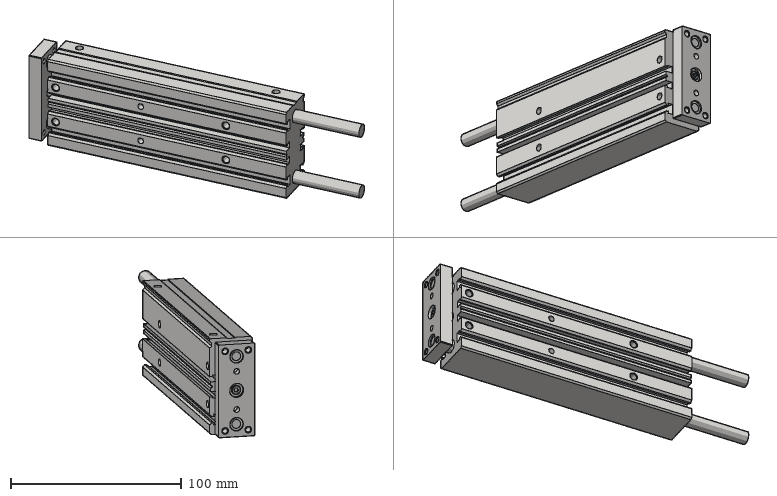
import cadquery as cq
import math


TOTAL_LENGTH = 210.0
HOUSING_DEPTH = 26.0
HOUSING_HEIGHT = 58.0
HOUSING_LENGTH = 154.0
PLATE_THICKNESS = 8.0
PLATE_DEPTH = 22.0
PLATE_HEIGHT = 56.0
PLATE_CHAMFER = 0.5
PLATE_GAP = 5.0

GUIDE_DIAMETER = 8.0
GUIDE_SPACING = 41.0
GUIDE_NECK_DIAMETER = 5.2
GUIDE_RECESS_DEPTH = 1.0
PISTON_DIAMETER = 6.0
PISTON_INSERTION = 126.0
PISTON_HEAD_DIAMETER = 5.5
PISTON_HEAD_CHAMFER = 0.32
PISTON_RECESS_DEPTH = 1.9
PISTON_HEAD_HEIGHT = 0.8
SOCKET_ACROSS_FLATS = 2.3
SOCKET_DEPTH = 1.3
PISTON_RECESS_DIAMETER = 8.5

EDGE_CHAMFER = 1.0
BACK_TOP_CHAMFER = 0.5
TOP_GROOVE_BACK = 2.7
TOP_GROOVE_FRONT = -2.3
TOP_GROOVE_DEPTH = 0.5
TOP_GROOVE_SLOPE = 0.6

SLOT_CHAMFER = 1.3
T_SLOT_MOUTH = 3.8
T_SLOT_HEAD = 6.3
T_SLOT_LIP = 2.5
T_SLOT_DEPTH = 5.7
T_SLOT_FRONT_HEIGHTS = (18.7, -18.7)
T_SLOT_BACK_HEIGHT = -20.0

SENSOR_SLOT_INNER = 3.0
SENSOR_SLOT_OUTER = 6.0
SENSOR_SLOT_UNDERCUT = 0.8
SENSOR_SLOT_LIP = 1.9
SENSOR_SLOT_DEPTH = 5.2
RIDGE_RECESS = 0.6
RIDGE_GROOVE_MOUTH = 1.9
RIDGE_GROOVE_FLOOR = 0.6
RIDGE_GROOVE_DEPTH = 1.0

BACK_GROOVE_HEIGHT = 25.5
BACK_GROOVE_MOUTH = 4.0
BACK_GROOVE_FLOOR = 1.7
BACK_GROOVE_DEPTH = 1.3

HOLE_ROW_SPACING = 23.0
MOUNT_FIRST_OFFSET = 5.0
MOUNT_SPACING = 110.0
MOUNT_DIAMETER = 4.2
MOUNT_CHAMFER = 0.5
PIN_HOLE_DIAMETER = 3.5
PIN_HOLE_DEPTH = 5.0
PORT_FIRST_OFFSET = 11.0
PORT_SPACING = 127.0
PORT_Y = 8.0
PORT_DIAMETER = 4.6
PORT_DEPTH = 5.0
PORT_PASSAGE_DIAMETER = 1.9
PORT_PASSAGE_DEPTH = 7.5
DRILL_POINT_ANGLE = 118.0

CORNER_HOLE_SPACING_Y = 14.0
CORNER_HOLE_SPACING_Z = 48.0
CORNER_HOLE_DIAMETER = 3.2
CORNER_HOLE_CHAMFER = 0.5
PLATE_PIN_DIAMETER = 3.4
PLATE_PIN_DEPTH = 5.0

FRONT_Y = -HOUSING_DEPTH / 2
BACK_Y = HOUSING_DEPTH / 2
TOP_Z = HOUSING_HEIGHT / 2
HOUSING_START = PLATE_THICKNESS + PLATE_GAP
GUIDE_HEIGHTS = (GUIDE_SPACING / 2, -GUIDE_SPACING / 2)
HOLE_ROW_HEIGHTS = (HOLE_ROW_SPACING / 2, -HOLE_ROW_SPACING / 2)


def cylinder(diameter, length, start, direction):
    return cq.Workplane(cq.Solid.makeCylinder(diameter / 2, length, cq.Vector(*start), cq.Vector(*direction)))


def cone(start_diameter, end_diameter, length, start, direction):
    solid = cq.Solid.makeCone(
        start_diameter / 2, end_diameter / 2, length, cq.Vector(*start), cq.Vector(*direction)
    )
    return cq.Workplane(solid)


def rod_along_x(diameter, x_start, x_end, z=0.0):
    return cylinder(diameter, x_end - x_start, (x_start, 0, z), (1, 0, 0))


def blind_hole(diameter, depth, start, direction):
    """Drilled hole with a conical bottom."""
    bottom = cq.Vector(*start) + cq.Vector(*direction) * depth
    point_length = diameter / 2 / math.tan(math.radians(DRILL_POINT_ANGLE / 2))
    shaft = cylinder(diameter, depth, start, direction)
    return shaft.union(cone(diameter, 0, point_length, bottom.toTuple(), direction))


def countersink(diameter, chamfer, start, direction):
    return cone(diameter + 2 * chamfer, diameter, chamfer, start, direction)


def along_housing(points):
    """Extrude a (y, z) outline over the whole length of the housing."""
    return cq.Workplane("YZ", origin=(HOUSING_START, 0, 0)).polyline(points).close().extrude(HOUSING_LENGTH)


def side_cut(profile, side):
    """Cut with a (depth, z) outline, where side is -1 for the front face and +1 for the back face."""
    return along_housing([(side * (HOUSING_DEPTH / 2 - depth), z) for depth, z in profile])


def mirrored(upper):
    """Lower half of a (depth, z) outline that is symmetric about z = 0."""
    return [(depth, -z) for depth, z in reversed(upper)]


def t_slot(side, height):
    mouth = T_SLOT_MOUTH / 2
    head = T_SLOT_HEAD / 2
    upper = [
        (0, mouth + SLOT_CHAMFER),
        (SLOT_CHAMFER, mouth),
        (T_SLOT_LIP, mouth),
        (T_SLOT_LIP, head),
        (T_SLOT_DEPTH, head),
    ]
    return side_cut([(depth, height + z) for depth, z in upper + mirrored(upper)], side)


def sensor_slot(side, half, chamfer):
    """Slot beside the middle ridge, where half is +1 above the ridge and -1 below it."""
    undercut_z = SENSOR_SLOT_OUTER + SENSOR_SLOT_UNDERCUT
    profile = [(0, SENSOR_SLOT_INNER), (0, SENSOR_SLOT_OUTER + chamfer)]
    if chamfer:
        profile.append((chamfer, SENSOR_SLOT_OUTER))
    profile += [
        (SENSOR_SLOT_LIP, SENSOR_SLOT_OUTER),
        (SENSOR_SLOT_LIP, undercut_z),
        (SENSOR_SLOT_DEPTH, undercut_z),
        (SENSOR_SLOT_DEPTH, SENSOR_SLOT_INNER),
    ]
    return side_cut([(depth, half * z) for depth, z in profile], side)


def ridge_relief(side):
    """Set the middle ridge back from the face and run a tapered groove along it."""
    mouth = RIDGE_GROOVE_MOUTH / 2
    floor = RIDGE_GROOVE_FLOOR / 2
    floor_depth = RIDGE_RECESS + RIDGE_GROOVE_DEPTH
    upper = [
        (0, SENSOR_SLOT_INNER),
        (RIDGE_RECESS, SENSOR_SLOT_INNER),
        (RIDGE_RECESS, mouth),
        (floor_depth, floor),
    ]
    return side_cut(upper + mirrored(upper), side)


def back_groove():
    upper = [(0, BACK_GROOVE_MOUTH / 2), (BACK_GROOVE_DEPTH, BACK_GROOVE_FLOOR / 2)]
    return side_cut([(depth, BACK_GROOVE_HEIGHT + z) for depth, z in upper + mirrored(upper)], 1)


def top_groove():
    floor_z = TOP_Z - TOP_GROOVE_DEPTH
    return along_housing(
        [
            (TOP_GROOVE_FRONT, TOP_Z),
            (TOP_GROOVE_FRONT, floor_z),
            (TOP_GROOVE_BACK - TOP_GROOVE_SLOPE, floor_z),
            (TOP_GROOVE_BACK, TOP_Z),
        ]
    )


def housing_profile():
    block = along_housing(
        [
            (BACK_Y, TOP_Z - BACK_TOP_CHAMFER),
            (BACK_Y - BACK_TOP_CHAMFER, TOP_Z),
            (FRONT_Y + EDGE_CHAMFER, TOP_Z),
            (FRONT_Y, TOP_Z - EDGE_CHAMFER),
            (FRONT_Y, -TOP_Z + EDGE_CHAMFER),
            (FRONT_Y + EDGE_CHAMFER, -TOP_Z),
            (BACK_Y - EDGE_CHAMFER, -TOP_Z),
            (BACK_Y, -TOP_Z + EDGE_CHAMFER),
        ]
    )
    for height in T_SLOT_FRONT_HEIGHTS:
        block = block.cut(t_slot(-1, height))
    block = block.cut(t_slot(1, T_SLOT_BACK_HEIGHT))
    for side, chamfer in ((-1, SLOT_CHAMFER), (1, 0)):
        block = block.cut(ridge_relief(side))
        for half in (1, -1):
            block = block.cut(sensor_slot(side, half, chamfer))
    return block.cut(back_groove()).cut(top_groove())


def cut_mounting_holes(block):
    into = (0, 1, 0)
    for z in HOLE_ROW_HEIGHTS:
        for i in range(2):
            start = (HOUSING_START + MOUNT_FIRST_OFFSET + i * MOUNT_SPACING, FRONT_Y, z)
            block = block.cut(cylinder(MOUNT_DIAMETER, HOUSING_DEPTH, start, into))
            block = block.cut(countersink(MOUNT_DIAMETER, MOUNT_CHAMFER, start, into))
        pin_x = HOUSING_START + MOUNT_FIRST_OFFSET + MOUNT_SPACING / 2
        block = block.cut(blind_hole(PIN_HOLE_DIAMETER, PIN_HOLE_DEPTH, (pin_x, FRONT_Y, z), into))
    return block


def cut_ports(block):
    down = (0, 0, -1)
    for i in range(2):
        start = (HOUSING_START + PORT_FIRST_OFFSET + i * PORT_SPACING, PORT_Y, TOP_Z)
        block = block.cut(blind_hole(PORT_DIAMETER, PORT_DEPTH, start, down))
        block = block.cut(cylinder(PORT_PASSAGE_DIAMETER, PORT_PASSAGE_DEPTH, start, down))
    return block


def make_housing():
    block = cut_ports(cut_mounting_holes(housing_profile()))
    for z in GUIDE_HEIGHTS:
        block = block.cut(rod_along_x(GUIDE_DIAMETER, HOUSING_START, HOUSING_START + HOUSING_LENGTH, z))
    return block.cut(rod_along_x(PISTON_DIAMETER, HOUSING_START, HOUSING_START + PISTON_INSERTION))


def make_plate():
    into = (1, 0, 0)
    plate = cq.Workplane("XY").box(PLATE_THICKNESS, PLATE_DEPTH, PLATE_HEIGHT, centered=(False, True, True))
    plate = plate.edges("|X").chamfer(PLATE_CHAMFER)
    for z in (CORNER_HOLE_SPACING_Z / 2, -CORNER_HOLE_SPACING_Z / 2):
        for y in (CORNER_HOLE_SPACING_Y / 2, -CORNER_HOLE_SPACING_Y / 2):
            plate = plate.cut(cylinder(CORNER_HOLE_DIAMETER, PLATE_THICKNESS, (0, y, z), into))
            plate = plate.cut(countersink(CORNER_HOLE_DIAMETER, CORNER_HOLE_CHAMFER, (0, y, z), into))
    for z in HOLE_ROW_HEIGHTS:
        plate = plate.cut(blind_hole(PLATE_PIN_DIAMETER, PLATE_PIN_DEPTH, (0, 0, z), into))
    for z in GUIDE_HEIGHTS:
        plate = plate.cut(rod_along_x(GUIDE_DIAMETER, 0, GUIDE_RECESS_DEPTH, z))
        plate = plate.cut(rod_along_x(GUIDE_NECK_DIAMETER, 0, PLATE_THICKNESS, z))
    plate = plate.cut(rod_along_x(PISTON_RECESS_DIAMETER, 0, PISTON_RECESS_DEPTH))
    return plate.cut(rod_along_x(PISTON_HEAD_DIAMETER, 0, PLATE_THICKNESS))


def make_guide_rod(z):
    shaft = rod_along_x(GUIDE_DIAMETER, PLATE_THICKNESS, TOTAL_LENGTH, z)
    return shaft.union(rod_along_x(GUIDE_NECK_DIAMETER, GUIDE_RECESS_DEPTH, PLATE_THICKNESS, z))


def make_piston_rod():
    """Rod whose end passes through the plate and carries a hexagon socket."""
    head_x = PISTON_RECESS_DEPTH - PISTON_HEAD_HEIGHT
    head = rod_along_x(PISTON_HEAD_DIAMETER, head_x, PLATE_THICKNESS)
    head = head.faces("<X").chamfer(PISTON_HEAD_CHAMFER)
    rod = head.union(rod_along_x(PISTON_DIAMETER, PLATE_THICKNESS, HOUSING_START + PISTON_INSERTION))
    socket = (
        cq.Workplane("YZ", origin=(head_x, 0, 0))
        .polygon(6, SOCKET_ACROSS_FLATS / math.cos(math.pi / 6))
        .extrude(SOCKET_DEPTH)
    )
    return rod.cut(socket)


housing = make_housing()
plate = make_plate()
piston_rod = make_piston_rod()
guide_rods = [make_guide_rod(z) for z in GUIDE_HEIGHTS]

result = cq.Compound.makeCompound(
    [housing.val(), plate.val(), piston_rod.val(), *[rod.val() for rod in guide_rods]]
)